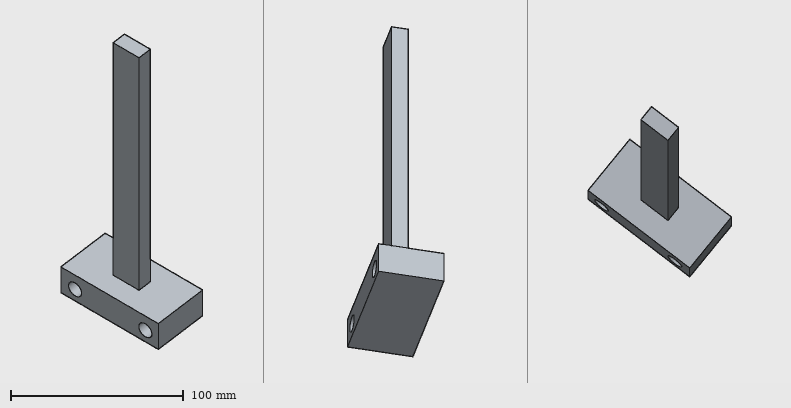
import cadquery as cq

base_length = 75.0
base_width = 39.0
base_height = 20.0

total_height = 200.0
bar_length = 20.0
bar_width = 10.0

hole_diameter = 10.0
hole_spacing = 54.0
hole_height = 9.0
end_to_first_hole = 11.0


def make_base():
    """Rectangular block resting on Z = 0."""
    return cq.Workplane("XY").box(base_length, base_width, base_height, centered=(True, True, False))


def make_bar():
    """Rectangular bar rising from the top of the base."""
    return (
        cq.Workplane("XY", origin=(0, 0, base_height))
        .rect(bar_length, bar_width)
        .extrude(total_height - base_height)
    )


def make_holes():
    """Pair of cylinders that cut the mounting holes."""
    first_hole_x = end_to_first_hole - base_length / 2
    return (
        cq.Workplane("XZ", origin=(0, 0, hole_height))
        .pushPoints([(first_hole_x + i * hole_spacing, 0) for i in range(2)])
        .circle(hole_diameter / 2)
        .extrude(base_width / 2, both=True)
    )


result = make_base().union(make_bar()).cut(make_holes())